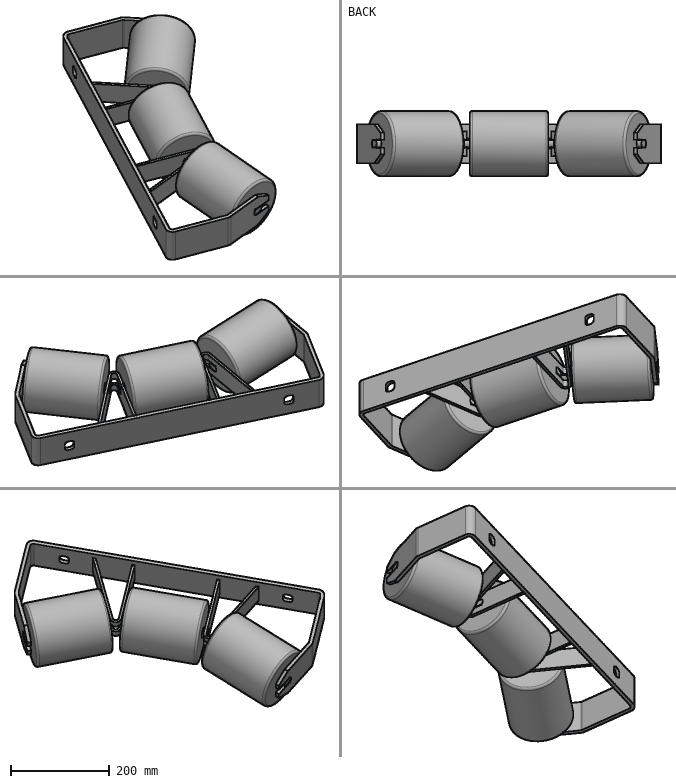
import cadquery as cq
import math

FRAME_LENGTH = 620.0
FRAME_HEIGHT = 80.0
TILT = 25.0
MIDDLE_ROLLER_Y = 125.0
SIDE_ROLLER_X = 191.5
SIDE_ROLLER_Y = 170.0

ROLLER_DIAMETER = 133.0
ROLLER_LENGTH = 160.0
ROLLER_EDGE_RADIUS = 5.0
SHAFT_DIAMETER = 21.0
SHAFT_FLATS = 14.0
SHOULDER_LENGTH = 3.0
SUPPORT_GAP = 5.5
ARM_GAP = 4.0

FRAME_THICKNESS = 8.0
FRAME_BEND_RADIUS = 7.0
ARM_TIP = 31.0
TIP_CHAMFER_LENGTH = 30.5
TIP_CHAMFER_HEIGHT = 18.0
MOUNT_HOLE_X = 232.5
MOUNT_HOLE_WIDTH = 20.0
MOUNT_HOLE_HEIGHT = 25.0
MOUNT_HOLE_CORNER = 7.5

SUPPORT_HEIGHT = 50.0
SUPPORT_THICKNESS = 5.5
SUPPORT_BEND_RADIUS = 12.0

SLOT_WIDTH = 17.0
SLOT_RISE = 37.0

tilt_sin = math.sin(math.radians(TILT))
tilt_cos = math.cos(math.radians(TILT))
shaft_radius = SHAFT_DIAMETER / 2
support_reach = ROLLER_LENGTH / 2 + SUPPORT_GAP
shaft_reach = support_reach + SUPPORT_THICKNESS
arm_reach = ROLLER_LENGTH / 2 + ARM_GAP + FRAME_THICKNESS

MIDDLE = (0, MIDDLE_ROLLER_Y, 0)
LEFT = (-SIDE_ROLLER_X, -TILT)
RIGHT = (SIDE_ROLLER_X, TILT)


def place_side(body, side):
    """Turn a body about Z and move it to a side roller's centre."""
    x, angle = side
    return body.rotate((0, 0, 0), (0, 0, 1), angle).translate((x, SIDE_ROLLER_Y, 0))


def left_point(outward, along):
    """Point at a distance outward on the left roller's axis and along its arm."""
    return (
        -SIDE_ROLLER_X - outward * tilt_cos + along * tilt_sin,
        SIDE_ROLLER_Y + outward * tilt_sin + along * tilt_cos,
    )


def mirrored(points):
    return [(-x, y) for x, y in points]


def x_cylinder(diameter, reach):
    """Cylinder along X, reaching equally far to both sides of the origin."""
    return cq.Workplane("YZ", origin=(-reach, 0, 0)).circle(diameter / 2).extrude(2 * reach)


def make_roller():
    """Roller on its shaft, centred on the origin with its axis along X."""
    shoulder_reach = ROLLER_LENGTH / 2 + SHOULDER_LENGTH
    drum = x_cylinder(ROLLER_DIAMETER, ROLLER_LENGTH / 2).edges().fillet(ROLLER_EDGE_RADIUS)
    shoulder = x_cylinder(SHAFT_DIAMETER, shoulder_reach)
    flats = cq.Workplane("XY").box(2 * shaft_reach, SHAFT_DIAMETER, SHAFT_FLATS)
    shaft = x_cylinder(SHAFT_DIAMETER, shaft_reach).intersect(flats)
    return drum.union(shoulder).union(shaft)


def make_slot_cutter():
    """Slot around a shaft on the X axis, open toward +Y, its bottom fitting the shaft."""
    half_width = SLOT_WIDTH / 2
    arc_start = -math.sqrt(shaft_radius**2 - half_width**2)
    return (
        cq.Workplane("YZ")
        .moveTo(SLOT_RISE, half_width)
        .lineTo(arc_start, half_width)
        .threePointArc((-shaft_radius, 0), (arc_start, -half_width))
        .lineTo(SLOT_RISE, -half_width)
        .close()
        .extrude(support_reach + SUPPORT_BEND_RADIUS, both=True)
    )


def frame_left_points(inset):
    """Tip, bend and corner of the left half of the frame, inset from its outer face."""
    side_x = inset - FRAME_LENGTH / 2
    outward = arm_reach - inset
    bend_along = (side_x + SIDE_ROLLER_X + outward * tilt_cos) / tilt_sin
    return [left_point(outward, ARM_TIP), left_point(outward, bend_along), (side_x, inset)]


def fillet_corners(body, points, radius):
    """Round the edges along Z that stand at the given points."""
    for x, y in points:
        body = body.edges(cq.selectors.NearestToPointSelector((x, y, 0))).fillet(radius)
    return body


def make_tip_chamfers():
    """Two wedges that taper the tip of an arm lying across the X axis."""
    half_width = FRAME_HEIGHT / 2
    wedge = (
        cq.Workplane("YZ")
        .polyline([
            (ARM_TIP - TIP_CHAMFER_LENGTH, half_width),
            (ARM_TIP, half_width - TIP_CHAMFER_HEIGHT),
            (ARM_TIP, half_width),
        ])
        .close()
        .extrude(arm_reach, both=True)
    )
    return wedge.union(wedge.mirror("XY"))


def make_frame():
    """Bent strip with a straight back, two sides and two tilted slotted arms."""
    outer = frame_left_points(0)
    inner = frame_left_points(FRAME_THICKNESS)
    outer_line = outer + mirrored(outer)[::-1]
    inner_line = inner + mirrored(inner)[::-1]
    frame = (
        cq.Workplane("XY")
        .polyline(outer_line + inner_line[::-1])
        .close()
        .extrude(FRAME_HEIGHT / 2, both=True)
    )
    frame = fillet_corners(frame, outer_line[1:-1], FRAME_BEND_RADIUS + FRAME_THICKNESS)
    frame = fillet_corners(frame, inner_line[1:-1], FRAME_BEND_RADIUS)

    mount_holes = (
        cq.Workplane("XZ")
        .pushPoints([(-MOUNT_HOLE_X, 0), (MOUNT_HOLE_X, 0)])
        .rect(MOUNT_HOLE_WIDTH, MOUNT_HOLE_HEIGHT)
        .extrude(-FRAME_THICKNESS)
        .edges("|Y")
        .fillet(MOUNT_HOLE_CORNER)
    )
    frame = frame.cut(mount_holes)
    for side in (LEFT, RIGHT):
        frame = frame.cut(place_side(make_tip_chamfers(), side))
        frame = frame.cut(place_side(make_slot_cutter(), side))
    return frame


def hairpin_outline(inset, bend_x, bend_y):
    """Filled outline of the left hairpin, inset from its outer face."""
    radius = SUPPORT_BEND_RADIUS - inset
    crown_angle = math.radians((180 - TILT) / 2)
    leg_top = (bend_x - radius * tilt_cos, bend_y + radius * tilt_sin)
    foot_x = leg_top[0] - (leg_top[1] - FRAME_THICKNESS) * tilt_sin / tilt_cos
    crown = (bend_x + radius * math.cos(crown_angle), bend_y + radius * math.sin(crown_angle))
    return (
        cq.Workplane("XY")
        .moveTo(bend_x + radius, FRAME_THICKNESS)
        .lineTo(bend_x + radius, bend_y)
        .threePointArc(crown, leg_top)
        .lineTo(foot_x, FRAME_THICKNESS)
        .close()
        .extrude(SUPPORT_HEIGHT / 2, both=True)
    )


def make_left_support():
    """Hairpin strip standing on the frame back, slotted for two shafts."""
    bend_outward = -support_reach - SUPPORT_BEND_RADIUS
    bend_x = bend_outward
    bend_along = (bend_x + SIDE_ROLLER_X + bend_outward * tilt_cos) / tilt_sin
    bend_y = left_point(bend_outward, bend_along)[1]

    support = hairpin_outline(0, bend_x, bend_y).cut(hairpin_outline(SUPPORT_THICKNESS, bend_x, bend_y))
    support = support.cut(make_slot_cutter().translate(MIDDLE))
    return support.cut(place_side(make_slot_cutter(), LEFT))


frame = make_frame()

left_support = make_left_support()
supports = [left_support, left_support.mirror("YZ")]

rollers = [make_roller().translate(MIDDLE)]
for side in (LEFT, RIGHT):
    rollers.append(place_side(make_roller(), side))

result = cq.Compound.makeCompound([body.val() for body in [frame, *supports, *rollers]])